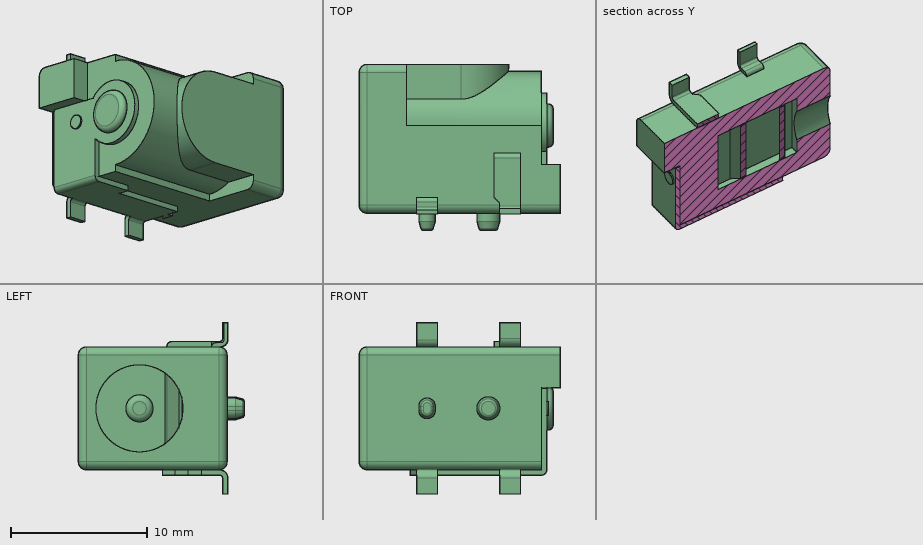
import cadquery as cq
import math


BODY_LENGTH = 14.8
BODY_HEIGHT = 9.04
BODY_BACK_Y = 4.5
BOARD_Y = -6.45
EDGE_RADIUS = 0.6
HALF_HEIGHT = BODY_HEIGHT / 2

COLLAR_LENGTH = 3.5
REAR_X = 13.4
LEDGE_BOTTOM_Z = 1.5
LEDGE_SIDE_Y = -2.85
BARREL_RADIUS = 4.0
HUMP_HALF_HEIGHT = 3.5
HUMP_ROUND_X = 7.5

BORE_RADIUS = 3.2
BORE_DEPTH = 10.0
POCKET_START_X = 3.0
POCKET_FLOOR_Y = -3.5
POCKET_HALF_WIDTH = 2.7

PEG_STRAIGHT = 0.6
PEG_LENGTH = 1.25
PEG_TAPER_ANGLE = 17.0
PEG_TIP_RADIUS = 0.18
ROUND_PEG_X = 9.5
ROUND_PEG_DIAMETER = 1.7
OVAL_PEG_X = 5.0
OVAL_PEG_WIDTH = 1.22
OVAL_PEG_HEIGHT = 1.52
STAKE_Y = -3.57
STAKE_RADIUS = 0.52
STAKE_PROTRUSION = 0.12

PIN_RADIUS = 1.0
PIN_TIP_X = 1.0
PIN_TIP_ROUND = 0.5
PIN_HEAD_RADIUS = 1.6
PIN_HEAD_HEIGHT = 0.48
PIN_HEAD_ROUND = 0.4

SHEET = 0.4
THIN_SHEET = 0.3
BEND_INNER_RADIUS = 0.2
LEG_WIDTH = 1.54
FRONT_LEG_X = 5.0
REAR_LEG_X = 11.1
LEG_TIP_Z = 6.3
LEG_FACE_Y = -6.5
TOP_FRONT_START_Y = -5.3
TOP_REAR_START_Y = -2.0
TOP_REAR_LEFT_X = 9.92
FLARE_Y = -5.28

DISC_RADIUS = 2.4
BRACKET_INNER_Y = -1.68
BRACKET_OUTER_Y = LEG_FACE_Y + SHEET + BEND_INNER_RADIUS
BRACKET_TOP_Z = 1.47
BRACKET_STEP_Y = -2.6
BARB_LENGTH = 0.48
BARB_BACK_Y = -3.57
BARB_POINT_Y = -4.55

SPRING_THICKNESS = 0.25
SPRING_HALF_WIDTH = 2.65
SPRING_ANGLE = math.radians(30)
SPRING_TIP_X = 4.0
SPRING_TIP_Y = -2.91
SPRING_CREST_Y = -1.89
SPRING_CREST_RADIUS = 1.0


def box(x0, x1, y0, y1, z0, z1):
    return cq.Workplane("XY").box(x1 - x0, y1 - y0, z1 - z0, centered=False).translate((x0, y0, z0))


def cylinder_x(radius, x0, x1, y=0.0):
    return cq.Workplane("YZ", origin=(x0, y, 0)).circle(radius).extrude(x1 - x0)


def peg(x, width, height):
    """Tapered peg standing on the board side; it is oval when height exceeds width."""
    def section(y):
        plane = cq.Workplane("XZ", origin=(x, y, 0))
        if height > width:
            return plane.slot2D(height, width, 90)
        return plane.circle(width / 2)

    straight = section(BOARD_Y).extrude(PEG_STRAIGHT)
    taper = section(BOARD_Y - PEG_STRAIGHT).extrude(PEG_LENGTH - PEG_STRAIGHT, taper=PEG_TAPER_ANGLE)
    return straight.union(taper.faces("<Y").edges().fillet(PEG_TIP_RADIUS))


def barrel_shell():
    """Outline that the housing keeps behind the collar: flat sides, round back and hump."""
    lower_half = box(0, BODY_LENGTH, BOARD_Y, 0, -HALF_HEIGHT, HALF_HEIGHT)
    collar = box(0, COLLAR_LENGTH, 0, BODY_BACK_Y, -HALF_HEIGHT, HALF_HEIGHT)
    round_back = cylinder_x(BARREL_RADIUS, 0, REAR_X)
    hump_tail = cq.Workplane("XZ").center(HUMP_ROUND_X, 0).circle(HUMP_HALF_HEIGHT).extrude(-BODY_BACK_Y)
    hump_block = box(0, HUMP_ROUND_X, 0, BODY_BACK_Y, -HUMP_HALF_HEIGHT, HUMP_HALF_HEIGHT)
    return lower_half.union(collar).union(round_back).union(hump_block).union(hump_tail)


def make_housing():
    block = box(0, BODY_LENGTH, BOARD_Y, BODY_BACK_Y, -HALF_HEIGHT, HALF_HEIGHT)
    body = block.edges("|X or <X").fillet(EDGE_RADIUS).intersect(barrel_shell())

    body = body.cut(box(REAR_X, BODY_LENGTH, BOARD_Y, BODY_BACK_Y, -HALF_HEIGHT, LEDGE_BOTTOM_Z))
    body = body.cut(box(REAR_X, BODY_LENGTH, LEDGE_SIDE_Y, BODY_BACK_Y, -HALF_HEIGHT, HALF_HEIGHT))

    body = body.union(peg(OVAL_PEG_X, OVAL_PEG_WIDTH, OVAL_PEG_HEIGHT))
    body = body.union(peg(ROUND_PEG_X, ROUND_PEG_DIAMETER, ROUND_PEG_DIAMETER))
    body = body.union(cylinder_x(STAKE_RADIUS, REAR_X, REAR_X + SHEET + STAKE_PROTRUSION, STAKE_Y))

    body = body.cut(cylinder_x(BORE_RADIUS, 0, BORE_DEPTH))
    body = body.cut(
        box(POCKET_START_X, BORE_DEPTH, POCKET_FLOOR_Y, 0, -POCKET_HALF_WIDTH, POCKET_HALF_WIDTH)
    )
    return body.cut(cylinder_x(PIN_RADIUS, BORE_DEPTH, REAR_X))


def make_center_pin():
    head_x = REAR_X + SHEET
    shaft = cylinder_x(PIN_RADIUS, PIN_TIP_X, head_x).faces("<X").edges().fillet(PIN_TIP_ROUND)
    head = cylinder_x(PIN_HEAD_RADIUS, head_x, head_x + PIN_HEAD_HEIGHT)
    return shaft.union(head.faces(">X").edges().fillet(PIN_HEAD_ROUND))


def bent_leg(x0, x1, start_y, sheet, side, rounded_start):
    """Strip lying on the top (side = 1) or bottom (side = -1) wall, bent outward into a leg."""
    def point(y, height):
        return (y, side * (HALF_HEIGHT + height))

    outer_radius = sheet + BEND_INNER_RADIUS
    bend_y = LEG_FACE_Y + outer_radius
    leg_height = LEG_TIP_Z - HALF_HEIGHT
    diagonal = math.sqrt(0.5)
    outer_mid = point(bend_y - outer_radius * diagonal, outer_radius * (1 - diagonal))
    inner_mid = point(bend_y - BEND_INNER_RADIUS * diagonal, outer_radius - BEND_INNER_RADIUS * diagonal)
    outline = (
        cq.Workplane("YZ", origin=(x0, 0, 0))
        .moveTo(*point(start_y, 0))
        .lineTo(*point(bend_y, 0))
        .threePointArc(outer_mid, point(LEG_FACE_Y, outer_radius))
        .lineTo(*point(LEG_FACE_Y, leg_height))
        .lineTo(*point(LEG_FACE_Y + sheet, leg_height))
        .lineTo(*point(LEG_FACE_Y + sheet, outer_radius))
        .threePointArc(inner_mid, point(bend_y, sheet))
    )
    if rounded_start:
        start_mid = point(start_y - sheet * (1 - diagonal), sheet * diagonal)
        outline = outline.lineTo(*point(start_y - sheet, sheet))
        outline = outline.threePointArc(start_mid, point(start_y, 0))
    else:
        outline = outline.lineTo(*point(start_y, sheet))
    return outline.close().extrude(x1 - x0)


def centered_leg(center_x, start_y, sheet, side, rounded_start):
    half_width = LEG_WIDTH / 2
    return bent_leg(center_x - half_width, center_x + half_width, start_y, sheet, side, rounded_start)


def make_top_front_terminal():
    return centered_leg(FRONT_LEG_X, TOP_FRONT_START_Y, THIN_SHEET, 1, True)


def make_top_rear_terminal():
    """Leg whose strip is wider on the mouth side and narrows at 45 degrees toward the bend."""
    right_x = REAR_LEG_X + LEG_WIDTH / 2
    leg_left_x = REAR_LEG_X - LEG_WIDTH / 2
    flare_end_y = FLARE_Y - (leg_left_x - TOP_REAR_LEFT_X)
    strip = bent_leg(TOP_REAR_LEFT_X, right_x, TOP_REAR_START_Y, SHEET, 1, True)
    trim = (
        cq.Workplane("XY")
        .moveTo(TOP_REAR_LEFT_X, FLARE_Y)
        .lineTo(leg_left_x, flare_end_y)
        .lineTo(leg_left_x, LEG_FACE_Y)
        .lineTo(TOP_REAR_LEFT_X, LEG_FACE_Y)
        .close()
        .extrude(LEG_TIP_Z)
    )
    return strip.cut(trim)


def make_rear_bracket():
    """Plate on the rear wall, folded under the bottom wall, with two legs and a pointed barb."""
    back_x = REAR_X + SHEET
    bottom_z = -HALF_HEIGHT - SHEET
    plate = box(REAR_X, back_x, BRACKET_OUTER_Y, BRACKET_INNER_Y, -HALF_HEIGHT, BRACKET_TOP_Z)
    disc = cylinder_x(DISC_RADIUS, REAR_X, back_x)
    fold = (
        cq.Workplane("XZ", origin=(REAR_X, BRACKET_INNER_Y, -HALF_HEIGHT))
        .circle(SHEET)
        .extrude(BRACKET_INNER_Y - BRACKET_OUTER_Y)
        .intersect(box(REAR_X, back_x, BRACKET_OUTER_Y, BRACKET_INNER_Y, bottom_z, -HALF_HEIGHT))
    )
    front_x = FRONT_LEG_X - LEG_WIDTH / 2
    step_x = REAR_LEG_X - LEG_WIDTH / 2
    barb_x = front_x - BARB_LENGTH
    floor = (
        cq.Workplane("XY", origin=(0, 0, bottom_z))
        .moveTo(REAR_X, BRACKET_INNER_Y)
        .lineTo(step_x, BRACKET_INNER_Y)
        .lineTo(step_x, BRACKET_STEP_Y)
        .lineTo(front_x, BRACKET_STEP_Y)
        .lineTo(front_x, BARB_BACK_Y)
        .lineTo(barb_x, BARB_BACK_Y)
        .lineTo(barb_x, BARB_POINT_Y)
        .lineTo(front_x, BARB_POINT_Y + BARB_LENGTH)
        .lineTo(front_x, BRACKET_OUTER_Y)
        .lineTo(REAR_X, BRACKET_OUTER_Y)
        .close()
        .extrude(SHEET)
    )
    bracket = plate.union(disc).union(fold).union(floor)
    for leg_x in (FRONT_LEG_X, REAR_LEG_X):
        bracket = bracket.union(centered_leg(leg_x, BRACKET_STEP_Y, SHEET, -1, False))
    bracket = bracket.cut(cylinder_x(PIN_RADIUS, REAR_X, back_x))
    return bracket.cut(cylinder_x(STAKE_RADIUS, REAR_X, back_x, STAKE_Y))


def make_spring_contact():
    """Leaf that rises from its free tip to a rounded crest, then drops to a foot on the pocket floor."""
    slope = math.tan(SPRING_ANGLE)
    drop = SPRING_THICKNESS / math.cos(SPRING_ANGLE)
    corner_y = SPRING_CREST_Y + SPRING_CREST_RADIUS * (1 / math.cos(SPRING_ANGLE) - 1)
    corner_x = SPRING_TIP_X + (corner_y - SPRING_TIP_Y) / slope
    foot_top_y = POCKET_FLOOR_Y + SPRING_THICKNESS
    foot_top_x = corner_x + (corner_y - foot_top_y) / slope
    foot_bottom_x = corner_x + (corner_y - drop - POCKET_FLOOR_Y) / slope
    tip_bottom_x = SPRING_TIP_X + SPRING_THICKNESS * math.sin(SPRING_ANGLE)
    tip_bottom_y = SPRING_TIP_Y - SPRING_THICKNESS * math.cos(SPRING_ANGLE)
    leaf = (
        cq.Workplane("XY", origin=(0, 0, -SPRING_HALF_WIDTH))
        .moveTo(SPRING_TIP_X, SPRING_TIP_Y)
        .lineTo(corner_x, corner_y)
        .lineTo(foot_top_x, foot_top_y)
        .lineTo(BORE_DEPTH, foot_top_y)
        .lineTo(BORE_DEPTH, POCKET_FLOOR_Y)
        .lineTo(foot_bottom_x, POCKET_FLOOR_Y)
        .lineTo(corner_x, corner_y - drop)
        .lineTo(tip_bottom_x, tip_bottom_y)
        .close()
        .extrude(2 * SPRING_HALF_WIDTH)
    )
    outer_crest = cq.selectors.NearestToPointSelector((corner_x, corner_y, 0))
    leaf = leaf.edges("|Z").edges(outer_crest).fillet(SPRING_CREST_RADIUS)
    inner_crest = cq.selectors.NearestToPointSelector((corner_x, corner_y - drop, 0))
    inner_radius = SPRING_CREST_RADIUS - SPRING_THICKNESS
    return leaf.edges("|Z").edges(inner_crest).fillet(inner_radius)


housing = make_housing()
center_pin = make_center_pin()
spring_contact = make_spring_contact()
rear_bracket = make_rear_bracket()
top_front_terminal = make_top_front_terminal()
top_rear_terminal = make_top_rear_terminal()

result = cq.Compound.makeCompound([
    housing.val(),
    center_pin.val(),
    spring_contact.val(),
    rear_bracket.val(),
    top_front_terminal.val(),
    top_rear_terminal.val(),
])